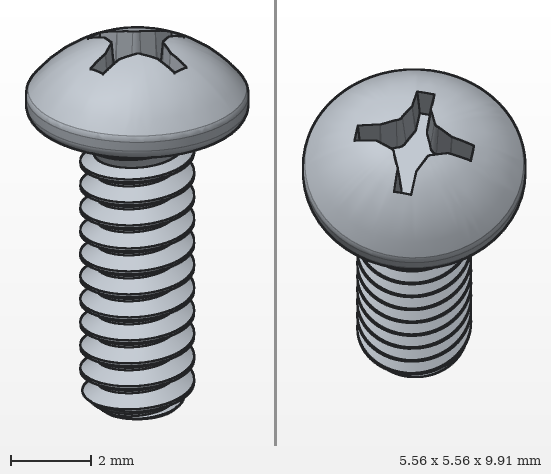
import cadquery as cq
import math

bearing_z = 7.93
dome_top_z = 9.97

head_radius = 5.56 / 2
rim_corner_z = 8.55
dome_radius = 3.42
rim_bottom_fillet = 0.3
rim_top_fillet = 0.25

flank_angle = 30.0
major_radius = 2.84 / 2
root_radius = 1.0
pitch = 0.63
crest_width = pitch / 8
crest_start_z = 0.52
tip_radius = 1.03
ridge_overlap = 0.03
envelope_clearance = 0.05

neck_radius = 2.9 / 2
neck_length = 1.3

recess_floor_z = 8.72
recess_taper = 5.0
wing_length = 1.51
wing_half_width = 0.25
flare_start = 0.91
lobe_far = 0.54
lobe_near = 0.42
lobe_middle = 0.46


def make_head():
    dome_mid_drop = dome_radius - math.sqrt(dome_radius**2 - (head_radius / 2) ** 2)
    profile = (
        cq.Workplane("XZ")
        .moveTo(0, bearing_z)
        .lineTo(head_radius, bearing_z)
        .lineTo(head_radius, rim_corner_z)
        .threePointArc((head_radius / 2, dome_top_z - dome_mid_drop), (0, dome_top_z))
        .close()
    )
    head = profile.revolve(360, (0, 0, 0), (0, 1, 0))
    rim_circles = head.edges("%CIRCLE").edges(cq.selectors.RadiusNthSelector(0))
    head = rim_circles.edges(">Z").fillet(rim_top_fillet)
    return head.faces("<Z").edges().fillet(rim_bottom_fillet)


def make_thread():
    base_radius = root_radius - ridge_overlap
    crest_half = crest_width / 2
    base_half = crest_half + (major_radius - base_radius) * math.tan(math.radians(flank_angle))
    start_z = crest_start_z - 2 * pitch
    turns = math.ceil((bearing_z - start_z) / pitch) + 1
    helix_height = turns * pitch

    helix = cq.Wire.makeHelix(pitch, helix_height, root_radius).translate(cq.Vector(0, 0, start_z))
    ridge = (
        cq.Workplane("XZ")
        .polyline([
            (base_radius, start_z - base_half),
            (major_radius, start_z - crest_half),
            (major_radius, start_z + crest_half),
            (base_radius, start_z + base_half),
        ])
        .close()
        .sweep(cq.Workplane(obj=helix), isFrenet=True)
    )
    core_start_z = start_z - pitch
    core_height = helix_height + 2 * pitch
    core = cq.Workplane("XY", origin=(0, 0, core_start_z)).circle(root_radius).extrude(core_height)

    envelope_radius = major_radius + envelope_clearance
    envelope = cq.Workplane("XY").circle(envelope_radius).extrude(bearing_z)
    envelope = envelope.faces("<Z").chamfer(envelope_radius - tip_radius)
    return core.union(ridge, clean=False).intersect(envelope, clean=False)


def make_neck():
    return cq.Workplane("XZ").polyline([
        (0, bearing_z),
        (neck_radius, bearing_z),
        (root_radius, bearing_z - neck_length),
        (0, bearing_z - neck_length),
    ]).close().revolve(360, (0, 0, 0), (0, 1, 0))


def make_recess():
    def turned(x, y, quarter):
        angle = quarter * math.pi / 2
        return (x * math.cos(angle) - y * math.sin(angle), x * math.sin(angle) + y * math.cos(angle))

    outline = cq.Workplane("XY", origin=(0, 0, dome_top_z)).moveTo(wing_length, -wing_half_width)
    for quarter in range(4):
        for x, y in [
            (wing_length, wing_half_width),
            (flare_start, wing_half_width),
            (lobe_far, lobe_near),
        ]:
            outline = outline.lineTo(*turned(x, y, quarter))
        outline = outline.threePointArc(
            turned(lobe_middle, lobe_middle, quarter),
            turned(lobe_near, lobe_far, quarter),
        )
        outline = outline.lineTo(*turned(wing_half_width, flare_start, quarter))
        if quarter < 3:
            outline = outline.lineTo(*turned(wing_half_width, wing_length, quarter))
    return outline.close().extrude(recess_floor_z - dome_top_z, taper=recess_taper)


result = (
    make_thread()
    .union(make_neck(), clean=False)
    .union(make_head(), clean=False)
    .cut(make_recess(), clean=False)
)